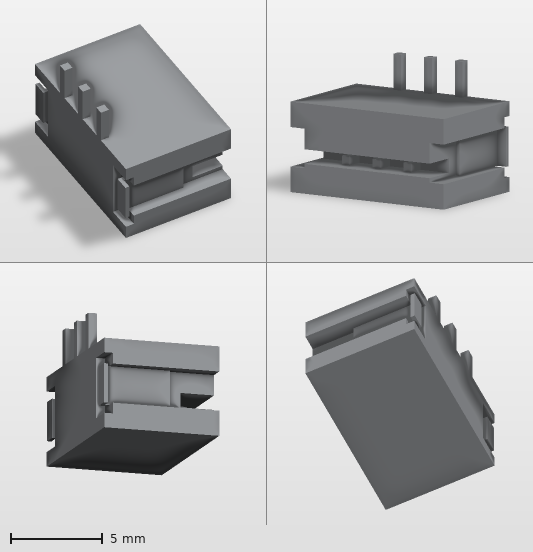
import cadquery as cq

WIDTH = 9.95
DEPTH = 6.6
HEIGHT = 5.0

TERMINAL_COUNT = 3
TERMINAL_PITCH = 1.99
TERMINAL_SIZE = 0.5
PIN_LENGTH = 2.0
CONTACT_LENGTH = 0.96

CHANNEL_DEPTH = 0.91
CHANNEL_HEIGHT = 2.19

POCKET_WIDTH = 1.41
POCKET_DEPTH = 0.5
POCKET_HEIGHT = 3.38

SLOT_DEPTH = 1.91
SLOT_FLOOR = 1.65
SLOT_HEIGHT = 0.81

TAB_THICKNESS = 0.25
TAB_LENGTH = 3.99
TAB_SETBACK = 0.06

MID_HEIGHT = HEIGHT / 2
SLOT_END = DEPTH - SLOT_DEPTH
SIDES = (-1, 1)


def block(x_range, y_range, z_range):
    """Rectangular block between pairs of limits along each axis."""
    (x0, x1), (y0, y1), (z0, z1) = x_range, y_range, z_range
    return cq.Workplane("XY").box(x1 - x0, y1 - y0, z1 - z0, centered=False).translate((x0, y0, z0))


def side_range(side, outer_inset, inner_inset):
    """X limits between two distances inward from the left (-1) or right (1) side face."""
    return sorted((side * (WIDTH / 2 - outer_inset), side * (WIDTH / 2 - inner_inset)))


def middle_range(height):
    """Z limits of a feature centred on the housing's mid height."""
    return (MID_HEIGHT - height / 2, MID_HEIGHT + height / 2)


def make_housing():
    full_width = (-WIDTH / 2, WIDTH / 2)
    housing = block(full_width, (0, DEPTH), (0, HEIGHT))

    for side in SIDES:
        channel = block(side_range(side, 0, CHANNEL_DEPTH), (0, DEPTH), middle_range(CHANNEL_HEIGHT))
        pocket = block(side_range(side, 0, POCKET_WIDTH), (0, POCKET_DEPTH), middle_range(POCKET_HEIGHT))
        housing = housing.cut(channel).cut(pocket)

    slot = block(full_width, (SLOT_END, DEPTH), (SLOT_FLOOR, SLOT_FLOOR + SLOT_HEIGHT))
    return housing.cut(slot)


def make_tab(side):
    """Plate against the channel wall with a foot bent outward at the front."""
    z_range = middle_range(CHANNEL_HEIGHT)
    plate = block(side_range(side, CHANNEL_DEPTH - TAB_THICKNESS, CHANNEL_DEPTH), (0, TAB_LENGTH), z_range)
    foot = block(side_range(side, TAB_SETBACK, CHANNEL_DEPTH), (0, TAB_THICKNESS), z_range)
    return plate.union(foot)


def terminal_range(x):
    """X limits of a terminal centred on x."""
    return (x - TERMINAL_SIZE / 2, x + TERMINAL_SIZE / 2)


def make_pin(x):
    """Upright pin standing on the housing top, flush with the front face."""
    return block(terminal_range(x), (0, TERMINAL_SIZE), (HEIGHT, HEIGHT + PIN_LENGTH))


def make_contact(x):
    """Contact lying on the slot floor and projecting rearward from the slot's end wall."""
    y_range = (SLOT_END, SLOT_END + CONTACT_LENGTH)
    return block(terminal_range(x), y_range, (SLOT_FLOOR, SLOT_FLOOR + TERMINAL_SIZE))


terminal_positions = [(i - (TERMINAL_COUNT - 1) / 2) * TERMINAL_PITCH for i in range(TERMINAL_COUNT)]

housing = make_housing()
tabs = [make_tab(side) for side in SIDES]
pins = [make_pin(x) for x in terminal_positions]
contacts = [make_contact(x) for x in terminal_positions]

result = cq.Compound.makeCompound([body.val() for body in [housing, *tabs, *pins, *contacts]])